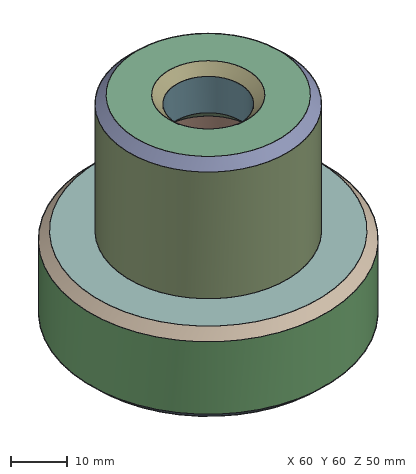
import cadquery as cq

flange_diameter = 60.0
flange_height = 20.0
total_height = 50.0
boss_diameter = 40.0
bore_diameter = 16.0
edge_chamfer = 2.0
relief_diameter = 22.0
relief_start_depth = 10.0

flange_radius = flange_diameter / 2
boss_radius = boss_diameter / 2
bore_radius = bore_diameter / 2
relief_radius = relief_diameter / 2
taper_top = total_height - relief_start_depth
taper_bottom = taper_top - (relief_radius - bore_radius)

half_section = (
    cq.Workplane("XZ")
    .moveTo(relief_radius, 0)
    .lineTo(flange_radius - edge_chamfer, 0)
    .lineTo(flange_radius, edge_chamfer)
    .lineTo(flange_radius, flange_height - edge_chamfer)
    .lineTo(flange_radius - edge_chamfer, flange_height)
    .lineTo(boss_radius, flange_height)
    .lineTo(boss_radius, total_height - edge_chamfer)
    .lineTo(boss_radius - edge_chamfer, total_height)
    .lineTo(bore_radius + edge_chamfer, total_height)
    .lineTo(bore_radius, total_height - edge_chamfer)
    .lineTo(bore_radius, taper_top)
    .lineTo(relief_radius, taper_bottom)
    .close()
)

result = half_section.revolve(360, (0, 0, 0), (0, 1, 0))